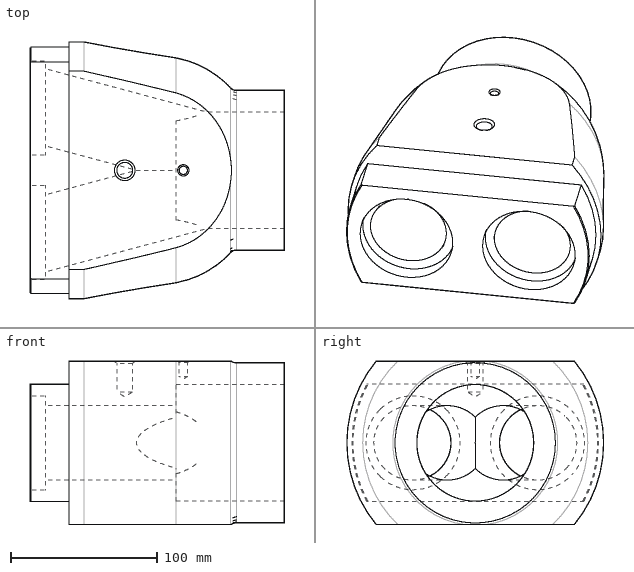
import cadquery as cq
import math

flange_start = 26.5
cone_start = 36.8
dome_start = 100.0
neck_start = 137.3
spigot_start = 141.2
total_length = 174.0

inlet_radius = 84.5
flange_radius = 88.0
dome_start_radius = 77.0
dome_middle_x = 120.4
dome_middle_radius = 69.7
neck_radius = 56.5
spigot_radius = 55.0

body_height = 112.0
inlet_height = 80.5
inlet_chamfer = 0.7

counterbore_offset = 42.6
counterbore_radius = 32.2
counterbore_depth = 10.5
inlet_bore_offset = 43.1
inlet_bore_radius = 25.5
inlet_bore_tilt = 15.0
inlet_bore_end = 123.2
outlet_bore_radius = 40.0
junction_x = dome_start

drill_tip_angle = 118.0
large_hole_x = 64.8
large_hole_radius = 5.5
large_mouth_radius = 7.0
large_hole_depth = 21.1
small_hole_x = 104.9
small_hole_radius = 2.8
small_mouth_radius = 3.9
small_hole_depth = 10.5


def cylinder_x(radius, start, end, y=0):
    """Cylinder parallel to X between two X positions."""
    return cq.Workplane("YZ", origin=(start, y, 0)).circle(radius).extrude(end - start)


def cut_to_height(solid, height):
    """Keep only the band of the given height centred on the axis."""
    band = cq.Workplane("XY").box(2 * total_length, 3 * flange_radius, height)
    return solid.intersect(band)


def make_inlet_block():
    block = cylinder_x(inlet_radius, 0, flange_start)
    block = block.faces("<X").chamfer(inlet_chamfer)
    return cut_to_height(block, inlet_height)


def make_body():
    """Flange, cone, dome and outlet spigot, revolved about X and flattened."""
    profile = (
        cq.Workplane("XY")
        .moveTo(flange_start, 0)
        .lineTo(flange_start, flange_radius)
        .lineTo(cone_start, flange_radius)
        .lineTo(dome_start, dome_start_radius)
        .threePointArc((dome_middle_x, dome_middle_radius), (neck_start, neck_radius))
        .tangentArcPoint((spigot_start, spigot_radius), relative=False)
        .lineTo(total_length, spigot_radius)
        .lineTo(total_length, 0)
        .close()
    )
    return cut_to_height(profile.revolve(360, (0, 0, 0), (1, 0, 0)), body_height)


def make_inlet_bore(side):
    """Cylinder leaning toward the X axis from the +Y (side 1) or -Y (side -1) inlet."""
    slope = math.tan(math.radians(inlet_bore_tilt))
    start_y = inlet_bore_offset + counterbore_depth * slope
    length = inlet_bore_end / math.cos(math.radians(inlet_bore_tilt))
    start = cq.Vector(0, side * start_y, 0)
    direction = cq.Vector(1, -side * slope, 0)
    return cq.Workplane(cq.Solid.makeCylinder(inlet_bore_radius, length, start, direction))


def make_passages():
    passages = cylinder_x(outlet_bore_radius, junction_x, total_length)
    for side in (-1, 1):
        counterbore = cylinder_x(counterbore_radius, 0, counterbore_depth, side * counterbore_offset)
        passages = passages.union(make_inlet_bore(side)).union(counterbore)
    return passages


def make_drilled_hole(x, radius, mouth_radius, depth):
    """Blind hole with a 45 degree countersunk mouth and a conical tip."""
    top = body_height / 2
    mouth_bottom = top - (mouth_radius - radius)
    tip_length = radius / math.tan(math.radians(drill_tip_angle / 2))
    profile = [
        (0, top),
        (mouth_radius, top),
        (radius, mouth_bottom),
        (radius, top - depth),
        (0, top - depth - tip_length),
    ]
    hole = cq.Workplane("XZ").polyline(profile).close().revolve(360, (0, 0, 0), (0, 1, 0))
    return hole.translate((x, 0, 0))


large_hole = make_drilled_hole(large_hole_x, large_hole_radius, large_mouth_radius, large_hole_depth)
small_hole = make_drilled_hole(small_hole_x, small_hole_radius, small_mouth_radius, small_hole_depth)

result = make_inlet_block().union(make_body())
result = result.cut(make_passages()).cut(large_hole).cut(small_hole)